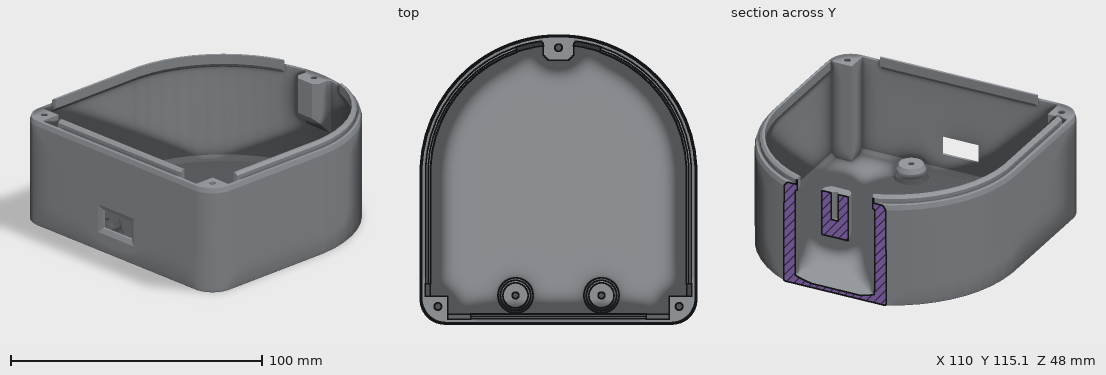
import cadquery as cq
import math

WIDTH = 110.0
HALF_WIDTH = WIDTH / 2
FRONT_Y = -60.0
ARC_START_Y = 2.5
BACK_RADIUS = math.hypot(HALF_WIDTH, ARC_START_Y)
CORNER_RADIUS = 10.0
RIM_Z = 45.0
BOTTOM_CHAMFER = 0.4
RIM_CHAMFER_WIDTH = 0.6
RIM_CHAMFER_HEIGHT = 2.0

WALL = 2.0
FLOOR = 2.0
FLOOR_CHAMFER = 1.9

LIP_CLEARANCE = 0.1
LIP_THICKNESS = 2.0
LIP_TOP_Z = 48.0
LIP_CHAMFER = 1.0
LIP_INNER_BOTTOM_Z = 44.0
LIP_FRONT_LENGTH = 70.0
LIP_SIDE_SETBACK = 16.0
LIP_SIDE_END_Y = FRONT_Y + LIP_SIDE_SETBACK
LIP_BACK_GAP_ANGLE = 18.7

CORNER_POST_SIZE = 11.0
CORNER_HOLE_INSET = 7.0
BACK_POST_WIDTH = 12.0
BACK_POST_FRONT_Y = 45.0
BACK_POST_CHAMFER = 2.0
BACK_POST_FLARE = 1.2
BACK_POST_HEIGHT = 15.0
BACK_HOLE_Y = 50.0
POST_HOLE_DIAMETER = 2.9
POST_HOLE_DEPTH = 12.0

BOSS_DIAMETER = 12.0
BOSS_HEIGHT = 6.0
BOSS_X = 17.1
BOSS_SETBACK = 11.4
BOSS_Y = FRONT_Y + BOSS_SETBACK
BOSS_TAPER_WIDTH = 1.0
BOSS_TAPER_HEIGHT = 2.0
BOSS_HOLE_DIAMETER = 2.6

WINDOW_WIDTH = 16.4
WINDOW_HEIGHT = 8.0
WINDOW_CENTRE_Z = 14.0
WINDOW_FLARE = 2.0
WINDOW_FLARE_DEPTH = 1.0


def outline(inset, z):
    """Closed body outline, moved inwards by inset, at height z."""
    side = HALF_WIDTH - inset
    front = FRONT_Y + inset
    radius = BACK_RADIUS - inset
    arc_y = math.sqrt(radius**2 - side**2)
    corner = CORNER_RADIUS - inset
    middle = corner * (1 - math.cos(math.radians(45)))
    return (
        cq.Workplane("XY", origin=(0, 0, z))
        .moveTo(side - corner, front)
        .threePointArc((side - middle, front + middle), (side, front + corner))
        .lineTo(side, arc_y)
        .threePointArc((0, radius), (-side, arc_y))
        .lineTo(-side, front + corner)
        .threePointArc((middle - side, front + middle), (corner - side, front))
        .close()
        .val()
    )


def layer(inset_low, z_low, inset_high, z_high):
    """Solid between two inset outlines; straight if the insets are equal."""
    low = outline(inset_low, z_low)
    if inset_low == inset_high:
        solid = cq.Solid.extrudeLinear(low, [], cq.Vector(0, 0, z_high - z_low))
    else:
        solid = cq.Solid.makeLoft([low, outline(inset_high, z_high)], True)
    return cq.Workplane(obj=solid)


def make_body():
    """Solid block with chamfered bottom and rim edges."""
    chamfer_z = RIM_Z - RIM_CHAMFER_HEIGHT
    return (
        layer(BOTTOM_CHAMFER, 0, 0, BOTTOM_CHAMFER)
        .union(layer(0, BOTTOM_CHAMFER, 0, chamfer_z))
        .union(layer(0, chamfer_z, RIM_CHAMFER_WIDTH, RIM_Z))
    )


def make_cavity():
    """Inside space, narrowing towards the floor."""
    wall_z = FLOOR + FLOOR_CHAMFER
    slope = layer(WALL + FLOOR_CHAMFER, FLOOR, WALL, wall_z)
    return slope.union(layer(WALL, wall_z, WALL, RIM_Z))


def make_lip():
    """Raised lip carried by the inside of the wall, chamfered at its outer top edge."""
    outer = WALL + LIP_CLEARANCE
    inner = outer + LIP_THICKNESS
    chamfer_z = LIP_TOP_Z - LIP_CHAMFER
    foot_z = LIP_INNER_BOTTOM_Z - (inner - WALL)
    ring = (
        layer(WALL, foot_z, WALL, RIM_Z)
        .union(layer(outer, RIM_Z, outer, chamfer_z))
        .union(layer(outer, chamfer_z, outer + LIP_CHAMFER, LIP_TOP_Z))
        .cut(layer(WALL, foot_z, inner, LIP_INNER_BOTTOM_Z))
        .cut(layer(inner, LIP_INNER_BOTTOM_Z, inner, LIP_TOP_Z))
    )
    return ring.cut(make_lip_gaps())


def make_lip_gaps():
    """Blocks that leave the lip out at the two front corners and at the back post."""
    half_front = LIP_FRONT_LENGTH / 2
    centre_x = (HALF_WIDTH + half_front) / 2
    centre_y = (FRONT_Y + LIP_SIDE_END_Y) / 2
    corners = (
        cq.Workplane("XY")
        .pushPoints([(-centre_x, centre_y), (centre_x, centre_y)])
        .rect(HALF_WIDTH - half_front, LIP_SIDE_END_Y - FRONT_Y)
        .extrude(LIP_TOP_Z)
    )
    reach_y = BACK_RADIUS
    reach_x = reach_y * math.tan(math.radians(LIP_BACK_GAP_ANGLE))
    back = (
        cq.Workplane("XY")
        .polyline([(0, 0), (reach_x, reach_y), (-reach_x, reach_y)])
        .close()
        .extrude(LIP_TOP_Z)
    )
    return corners.union(back)


def make_corner_posts():
    """Square posts in the two front corners, from floor to rim."""
    centre_x = HALF_WIDTH - CORNER_POST_SIZE / 2
    centre_y = FRONT_Y + CORNER_POST_SIZE / 2
    blocks = (
        cq.Workplane("XY")
        .pushPoints([(-centre_x, centre_y), (centre_x, centre_y)])
        .rect(CORNER_POST_SIZE, CORNER_POST_SIZE)
        .extrude(RIM_Z)
    )
    return blocks.intersect(make_body())


def make_back_post():
    """Post hanging on the back wall, with chamfered front corners and a 45 degree underside."""
    half = BACK_POST_WIDTH / 2
    wall_y = math.sqrt((BACK_RADIUS - WALL) ** 2 - half**2)
    flare_y = wall_y - BACK_POST_FLARE
    side = [
        (half - BACK_POST_CHAMFER, BACK_POST_FRONT_Y),
        (half, BACK_POST_FRONT_Y + BACK_POST_CHAMFER),
        (half, flare_y),
        (half + BACK_POST_FLARE, wall_y),
        (half + BACK_POST_FLARE, BACK_RADIUS),
    ]
    mirrored = [(-x, y) for x, y in reversed(side)]
    column = cq.Workplane("XY").polyline(side + mirrored).close().extrude(RIM_Z)
    slope_z = RIM_Z - BACK_POST_HEIGHT
    below = (
        cq.Workplane("YZ")
        .polyline([
            (BACK_POST_FRONT_Y, 0),
            (BACK_POST_FRONT_Y, slope_z),
            (BACK_POST_FRONT_Y + slope_z, 0),
        ])
        .close()
        .extrude(HALF_WIDTH, both=True)
    )
    return column.cut(below).intersect(make_body())


def make_post_holes():
    """Blind screw holes in the tops of the three posts."""
    hole_x = HALF_WIDTH - CORNER_HOLE_INSET
    hole_y = FRONT_Y + CORNER_HOLE_INSET
    return (
        cq.Workplane("XY", origin=(0, 0, RIM_Z))
        .pushPoints([(-hole_x, hole_y), (hole_x, hole_y), (0, BACK_HOLE_Y)])
        .circle(POST_HOLE_DIAMETER / 2)
        .extrude(-POST_HOLE_DEPTH)
    )


def make_boss(x):
    """Round floor boss with a flared foot, a tapered top and a hole down to the floor."""
    radius = BOSS_DIAMETER / 2
    hole = BOSS_HOLE_DIAMETER / 2
    profile = [
        (hole, 0),
        (radius + BOSS_TAPER_WIDTH, 0),
        (radius, BOSS_TAPER_HEIGHT),
        (radius, BOSS_HEIGHT - BOSS_TAPER_HEIGHT),
        (radius - BOSS_TAPER_WIDTH, BOSS_HEIGHT),
        (hole, BOSS_HEIGHT),
    ]
    return (
        cq.Workplane("XZ")
        .polyline(profile)
        .close()
        .revolve(360, (0, 0, 0), (0, 1, 0))
        .translate((x, BOSS_Y, FLOOR))
    )


def make_window():
    """Rectangular opening through the front wall with a sloped outer frame."""
    opening = (
        cq.Workplane("XZ", origin=(0, FRONT_Y, WINDOW_CENTRE_Z))
        .rect(WINDOW_WIDTH, WINDOW_HEIGHT)
        .extrude(-WALL)
    )
    flare = (
        cq.Workplane("XZ", origin=(0, FRONT_Y, WINDOW_CENTRE_Z))
        .rect(WINDOW_WIDTH + 2 * WINDOW_FLARE, WINDOW_HEIGHT + 2 * WINDOW_FLARE)
        .workplane(offset=-WINDOW_FLARE_DEPTH)
        .rect(WINDOW_WIDTH, WINDOW_HEIGHT)
        .loft(ruled=True)
    )
    return opening.union(flare)


shell = make_body().cut(make_cavity())
shell = shell.union(make_lip()).union(make_corner_posts()).union(make_back_post())
for boss_x in (-BOSS_X, BOSS_X):
    shell = shell.union(make_boss(boss_x))
shell = shell.cut(make_post_holes()).cut(make_window())
result = cq.Workplane(obj=shell.solids().val())